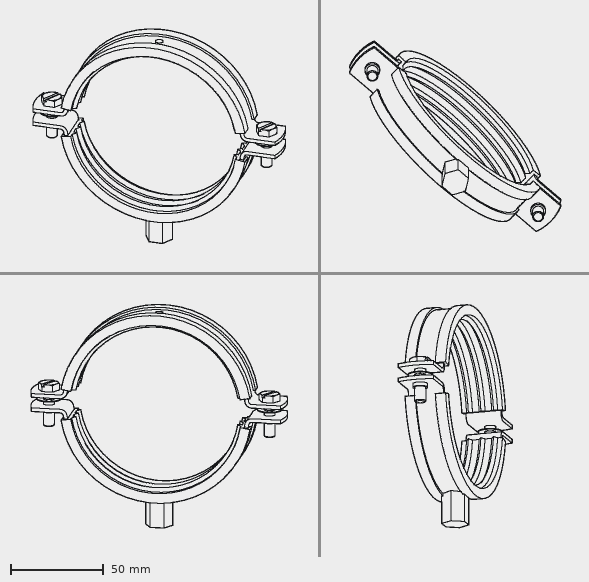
import cadquery as cq
import math


length = 139.7
strap_width = 19.8
strap_thickness = 2.1
strap_outer_radius = 51.1
strap_inner_radius = strap_outer_radius - strap_thickness
ear_gap = 5.9
ear_inner_z = ear_gap / 2
ear_outer_z = ear_inner_z + strap_thickness
ear_tip_bulge = 1.8
bend_inner_radius = 1.8
bend_outer_radius = bend_inner_radius + strap_thickness
collar_diameter = 8.0
collar_height = 2.0
vent_diameter = 4.0

bend_z = ear_inner_z + bend_outer_radius
bend_distance = strap_outer_radius + bend_inner_radius
bend_x = math.sqrt(bend_distance**2 - bend_z**2)
bend_angle = math.degrees(math.asin(bend_z / bend_distance))

liner_width = 23.0
liner_outer_radius = 52.4
liner_inner_radius = 47.0
liner_end_angle = 9.5
lip_opening = 11.3
tooth_count = 3
tooth_pitch = 7.1
tooth_width = 3.4
tooth_height = 2.1

screw_x = 60.4
screw_diameter = 6.0
screw_end_z = -15.1
screw_end_chamfer = 0.5
head_flats = 10.0
head_height = 3.9
head_bevel_angle = 30.0
slot_width = 1.5
slot_depth = 1.4
slot_angle = 60.0

washer_diameter = 13.1
washer_thickness = 0.4

nut_flats = 13.0
nut_bottom_z = -67.5


def polar(radius, angle, centre=(0.0, 0.0)):
    """Point at a radius and an angle in degrees from a centre."""
    turn = math.radians(angle)
    return (centre[0] + radius * math.cos(turn), centre[1] + radius * math.sin(turn))


def mirrored(point):
    """Same point on the other side of the X = 0 plane."""
    return (-point[0], point[1])


def hexagon(flats, height, base_z):
    """Hexagonal prism with two corners on the X axis."""
    corners = flats / math.cos(math.radians(30))
    return cq.Workplane("XY").workplane(offset=base_z).polygon(6, corners).extrude(height)


def cylinder(diameter, bottom_z, top_z, x=0.0):
    """Vertical cylinder between two heights."""
    base = cq.Workplane("XY", origin=(x, 0, bottom_z))
    return base.circle(diameter / 2).extrude(top_z - bottom_z)


def make_strap():
    """Upper strap: half ring, two bends and two ears, with the screw holes."""
    half_length = length / 2
    centre = (bend_x, bend_z)
    bend_middle = (270 + 180 + bend_angle) / 2
    inside_middle = polar(bend_inner_radius, bend_middle, centre)
    outside_middle = polar(bend_outer_radius, bend_middle, centre)
    ring_outside = polar(strap_outer_radius, bend_angle)
    ring_inside = polar(strap_inner_radius, bend_angle)

    band = (
        cq.Workplane("XZ")
        .moveTo(half_length, ear_outer_z)
        .lineTo(bend_x, ear_outer_z)
        .threePointArc(inside_middle, ring_outside)
        .threePointArc((0, strap_outer_radius), mirrored(ring_outside))
        .threePointArc(mirrored(inside_middle), (-bend_x, ear_outer_z))
        .lineTo(-half_length, ear_outer_z)
        .lineTo(-half_length, ear_inner_z)
        .lineTo(-bend_x, ear_inner_z)
        .threePointArc(mirrored(outside_middle), mirrored(ring_inside))
        .threePointArc((0, strap_inner_radius), ring_inside)
        .threePointArc(outside_middle, (bend_x, ear_inner_z))
        .lineTo(half_length, ear_inner_z)
        .close()
        .extrude(strap_width / 2, both=True)
    )

    corner_x = half_length - ear_tip_bulge
    corner_y = strap_width / 2
    plan = (
        cq.Workplane("XY")
        .moveTo(-corner_x, -corner_y)
        .lineTo(corner_x, -corner_y)
        .threePointArc((half_length, 0), (corner_x, corner_y))
        .lineTo(-corner_x, corner_y)
        .threePointArc((-half_length, 0), (-corner_x, -corner_y))
        .close()
        .extrude(liner_outer_radius)
    )
    strap = band.intersect(plan)
    for x in (-screw_x, screw_x):
        strap = strap.cut(cylinder(screw_diameter, 0, ear_outer_z, x))
    return strap


def make_lower_strap():
    """Mirrored strap with a collar around each screw under its ears."""
    strap = make_strap().mirror("XY")
    collar_bottom_z = -ear_outer_z - collar_height
    for x in (-screw_x, screw_x):
        collar = cylinder(collar_diameter, collar_bottom_z, -ear_outer_z, x)
        bore = cylinder(screw_diameter, collar_bottom_z, -ear_outer_z, x)
        strap = strap.union(collar.cut(bore))
    return strap


def make_liner():
    """Lower liner: ribbed half ring whose lips wrap around the strap edges."""
    edge = liner_width / 2
    pocket = strap_width / 2
    lip = lip_opening / 2
    profile = [
        (liner_inner_radius, -edge),
        (liner_outer_radius, -edge),
        (liner_outer_radius, -lip),
        (strap_outer_radius, -lip),
        (strap_outer_radius, -pocket),
        (strap_inner_radius, -pocket),
        (strap_inner_radius, pocket),
        (strap_outer_radius, pocket),
        (strap_outer_radius, lip),
        (liner_outer_radius, lip),
        (liner_outer_radius, edge),
        (liner_inner_radius, edge),
    ]
    for index in range(tooth_count):
        tooth_y = ((tooth_count - 1) / 2 - index) * tooth_pitch
        profile += [
            (liner_inner_radius, tooth_y + tooth_width / 2),
            (liner_inner_radius - tooth_height, tooth_y),
            (liner_inner_radius, tooth_y - tooth_width / 2),
        ]
    sweep = 180 - 2 * liner_end_angle
    half_ring = cq.Workplane("XY").polyline(profile).close().revolve(sweep, (0, 0), (0, 1))
    return half_ring.rotate((0, 0, 0), (0, 1, 0), liner_end_angle)


def make_screw(x):
    """Slotted hexagon screw with a bevelled head and a chamfered end."""
    head_top_z = ear_outer_z + head_height
    bevel_slope = math.tan(math.radians(head_bevel_angle))
    bevel_radius = head_flats / 2
    bevel_base_radius = bevel_radius + head_height / bevel_slope
    bevel = (
        cq.Workplane("XZ")
        .polyline([
            (0, ear_outer_z),
            (bevel_base_radius, ear_outer_z),
            (bevel_radius, head_top_z),
            (0, head_top_z),
        ])
        .close()
        .revolve(360, (0, 0), (0, 1))
    )
    slot = (
        cq.Workplane("XY")
        .workplane(offset=head_top_z - slot_depth)
        .rect(2 * head_flats, slot_width)
        .extrude(slot_depth)
        .rotate((0, 0, 0), (0, 0, 1), slot_angle)
    )
    head = hexagon(head_flats, head_height, ear_outer_z).intersect(bevel).cut(slot)
    shank = cylinder(screw_diameter, screw_end_z, ear_outer_z).faces("<Z").chamfer(screw_end_chamfer)
    return head.union(shank).translate((x, 0, 0))


def make_washer(x):
    """Thin retaining washer around the screw, midway between the ears."""
    half_thickness = washer_thickness / 2
    disc = cylinder(washer_diameter, -half_thickness, half_thickness, x)
    return disc.cut(cylinder(screw_diameter, -half_thickness, half_thickness, x))


def make_nut(liner):
    """Hexagon connection nut, seated on the lower strap and on the liner lips."""
    prism = hexagon(nut_flats, -nut_bottom_z, nut_bottom_z)
    strap_seat = cq.Workplane("XZ").circle(strap_outer_radius).extrude(liner_width / 2, both=True)
    return prism.cut(strap_seat).cut(liner)


lower_strap = make_lower_strap()
lower_liner = make_liner()
nut = make_nut(lower_liner)

vent = cylinder(vent_diameter, 0, liner_outer_radius)
upper_strap = make_strap().cut(vent)
upper_liner = lower_liner.mirror("XY").cut(vent)

screws = [make_screw(x) for x in (-screw_x, screw_x)]
washers = [make_washer(x) for x in (-screw_x, screw_x)]

bodies = [upper_strap, lower_strap, upper_liner, lower_liner, nut, *screws, *washers]
result = cq.Compound.makeCompound([body.val() for body in bodies])